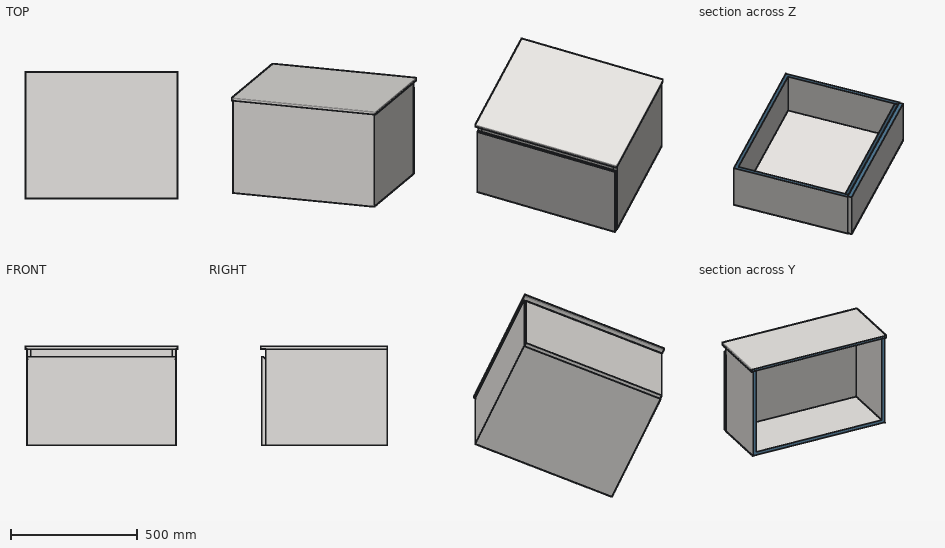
import cadquery as cq

WIDTH = 600.0
DEPTH = 500.0
HEIGHT = 392.0

TOP_THICKNESS = 12.0
EDGE_RADIUS = 1.0
SIDE_OVERHANG = 5.5
FRONT_OVERHANG = 3.5

BOARD = 16.0
FRONT_SIDE_INSET = 2.5
GRIP_GAP = 30.0
GRIP_BEVEL = 9.5

CABINET_WIDTH = WIDTH - 2 * SIDE_OVERHANG
CABINET_HEIGHT = HEIGHT - TOP_THICKNESS
CABINET_FRONT = FRONT_OVERHANG + BOARD
CABINET_DEPTH = DEPTH - CABINET_FRONT
INNER_WIDTH = CABINET_WIDTH - 2 * BOARD
FRONT_WIDTH = CABINET_WIDTH - 2 * FRONT_SIDE_INSET
FRONT_HEIGHT = CABINET_HEIGHT - GRIP_GAP


def centred_box(width, depth, height, front, bottom):
    """Box centred in X, starting at the given Y and Z."""
    box = cq.Workplane("XY").box(width, depth, height, centered=(True, False, False))
    return box.translate((0, front, bottom))


def make_worktop():
    """Board overhanging the cabinet sides and front, with every edge slightly rounded."""
    board = centred_box(WIDTH, DEPTH, TOP_THICKNESS, 0, CABINET_HEIGHT)
    return board.edges().fillet(EDGE_RADIUS)


def make_carcass():
    """Sides, bottom and back in one piece, open at the front and the top."""
    outer = centred_box(CABINET_WIDTH, CABINET_DEPTH, CABINET_HEIGHT, CABINET_FRONT, 0)
    cavity = centred_box(INNER_WIDTH, CABINET_DEPTH - BOARD, CABINET_HEIGHT - BOARD, CABINET_FRONT, BOARD)
    return outer.cut(cavity)


def make_inner_panel():
    """Panel closing the carcass opening, flush with the front edges of the sides."""
    return centred_box(INNER_WIDTH, BOARD, CABINET_HEIGHT - BOARD, CABINET_FRONT, BOARD)


def make_drawer_front():
    """Front board with a bevelled upper rear edge as a finger grip."""
    board = centred_box(FRONT_WIDTH, BOARD, FRONT_HEIGHT, FRONT_OVERHANG, 0)
    return board.faces(">Z").edges(">Y").chamfer(GRIP_BEVEL)


worktop = make_worktop()
carcass = make_carcass()
inner_panel = make_inner_panel()
drawer_front = make_drawer_front()

result = cq.Compound.makeCompound(
    [worktop.val(), carcass.val(), inner_panel.val(), drawer_front.val()]
)